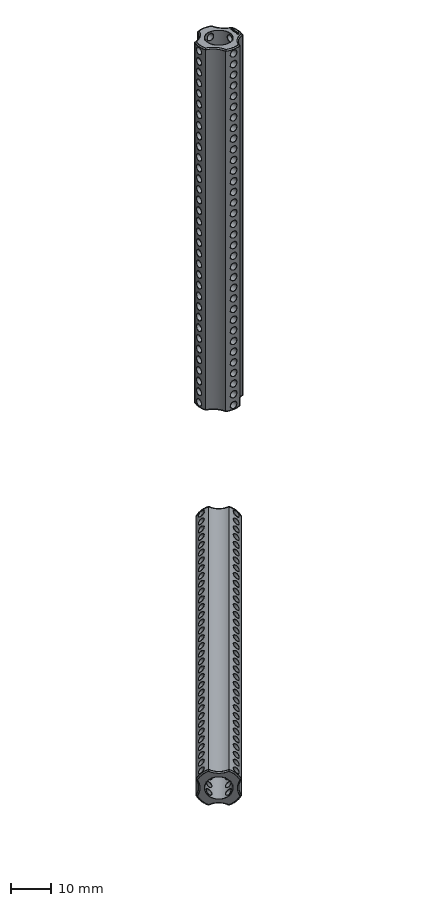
import cadquery as cq
import math

length = 106.2
hole_count = 34
hole_pitch = length / hole_count

lobe_count = 4
tip_radius = 2 * hole_pitch
tip_half_width = 2.2
flute_floor_radius = 5.0
end_chamfer = 0.3

bore_diameter = 7.1
web_hole_diameter = 3.0

web_bottom = 3 * hole_pitch
web_top = web_bottom + hole_pitch / 2

hole_diameter = 2.0
hole_end_radius = 3.1

mark_length = 3.0
mark_width = 0.3
mark_depth = 0.5
mark_offset = 5.1


def polar(radius, angle):
    """Point at a radius and an angle in radians about the axis."""
    return (radius * math.cos(angle), radius * math.sin(angle))


def fluted_bar():
    """Solid bar with lobes along X and Y, chamfered at both ends."""
    lobe_step = 2 * math.pi / lobe_count
    half_tip = math.asin(tip_half_width / tip_radius)
    outline = cq.Workplane("XY").moveTo(*polar(tip_radius, -half_tip))
    for lobe in range(lobe_count):
        angle = lobe * lobe_step
        tip_end = polar(tip_radius, angle + half_tip)
        flute_floor = polar(flute_floor_radius, angle + lobe_step / 2)
        next_tip_start = polar(tip_radius, angle + lobe_step - half_tip)
        outline = outline.threePointArc(polar(tip_radius, angle), tip_end)
        outline = outline.threePointArc(flute_floor, next_tip_start)
    bar = outline.close().extrude(length)
    return bar.faces("<Z or >Z").edges().chamfer(end_chamfer)


def axial_cylinder(diameter, bottom, top):
    """Cylinder on the axis between two heights."""
    return cq.Workplane("XY").workplane(offset=bottom).circle(diameter / 2).extrude(top - bottom)


def web():
    """Disc across the bore with a small hole through its middle."""
    disc = axial_cylinder(bore_diameter, web_bottom, web_top)
    return disc.cut(axial_cylinder(web_hole_diameter, web_bottom, web_top))


def hole_row():
    """Cutter for the row of blind holes in the +X lobe."""
    centres = [(0, (index + 0.5) * hole_pitch) for index in range(hole_count)]
    return (
        cq.Workplane("YZ")
        .workplane(offset=hole_end_radius)
        .pushPoints(centres)
        .circle(hole_diameter / 2)
        .extrude(tip_radius - hole_end_radius)
    )


def index_mark():
    """Cutter for the narrow slot in the top face."""
    return (
        cq.Workplane("XY")
        .workplane(offset=length - mark_depth)
        .center(0, mark_offset)
        .rect(mark_length, mark_width)
        .extrude(mark_depth)
    )


result = fluted_bar().cut(axial_cylinder(bore_diameter, 0, length))
result = result.union(web())
for lobe in range(lobe_count):
    lobe_angle = lobe * 360 / lobe_count
    result = result.cut(hole_row().rotate((0, 0, 0), (0, 0, 1), lobe_angle))
result = result.cut(index_mark())